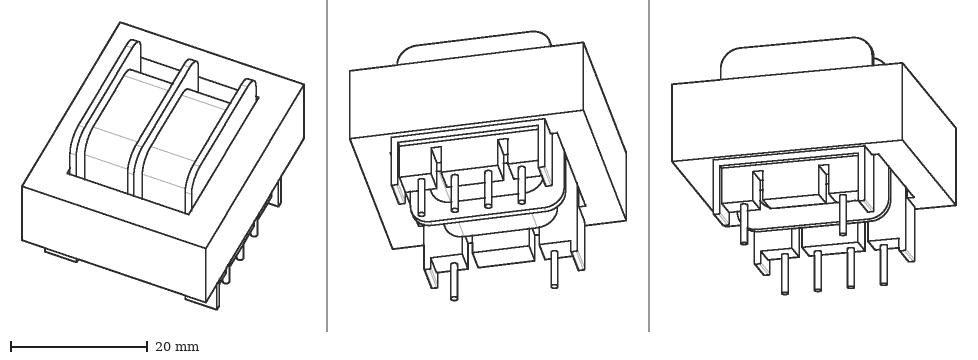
import cadquery as cq

core_length_x = 29.5
core_width_y = 35.0
core_height = 12.0
core_wall = 5.0
window_x = core_length_x - 2 * core_wall
window_y = core_width_y - 2 * core_wall
core_bottom = -core_height / 2

sheet = 1.0
flange_width = 23.0
flange_rise = 6.5
flange_height = core_height + 2 * flange_rise
corner_radius = 3.0
flange_pitch = (window_x - sheet) / 2
flange_positions = (-flange_pitch, 0, flange_pitch)
end_flange_inner = flange_pitch - sheet / 2

winding_width = flange_width - 2 * corner_radius
winding_height = flange_height - 2 * corner_radius

block_inner = end_flange_inner
block_inset = 0.98
block_outer = core_length_x / 2 - block_inset
block_length = block_outer - block_inner
leg_drop = 8.47
leg_edge_radius = 0.2
infill_recess = 1.0
infill_width = flange_width - 2 * sheet
infill_bottom = core_bottom - flange_rise
slot_width = 1.5
slot_top = core_bottom - 2.0

pin_diameter = 1.0
pin_pitch = 5.0
pin_x = (block_inner + block_outer) / 2
pin_bottom = core_bottom - 12.5
slot_offset = pin_pitch


def box_between(x_range, y_range, z_range):
    """Axis-aligned box given by its lower and upper limit on each axis."""
    size = [high - low for low, high in (x_range, y_range, z_range)]
    corner = (x_range[0], y_range[0], z_range[0])
    return cq.Workplane("XY").box(*size, centered=False).translate(corner)


def make_core():
    ring = cq.Workplane("XY").box(core_length_x, core_width_y, core_height)
    window = cq.Workplane("XY").box(window_x, window_y, core_height)
    return ring.cut(window)


def rounded_plate(length, width, height):
    """Block centred on the origin with its four X-direction edges rounded."""
    return cq.Workplane("XY").box(length, width, height).edges("|X").fillet(corner_radius)


def terminal_leg(side):
    """Leg on the +Y or -Y side of the +X terminal block, rounded along its lower edges."""
    centre_y = side * (flange_width - sheet) / 2
    leg = box_between(
        (block_inner, block_outer),
        (centre_y - sheet / 2, centre_y + sheet / 2),
        (core_bottom - leg_drop, core_bottom),
    )
    return leg.edges("|X and <Z").fillet(leg_edge_radius)


def terminal_block():
    """Terminal block at the +X end: top plate, two legs and the infill between them."""
    top_plate = box_between(
        (block_inner, block_outer),
        (-flange_width / 2, flange_width / 2),
        (core_bottom - sheet, core_bottom),
    )
    infill = box_between(
        (block_inner, block_outer - infill_recess),
        (-infill_width / 2, infill_width / 2),
        (infill_bottom, core_bottom),
    )
    return top_plate.union(infill).union(terminal_leg(1)).union(terminal_leg(-1))


def block_slots():
    """Two wire slots through the +X block, open at its bottom and as deep as the winding face."""
    return (
        cq.Workplane("XY")
        .pushPoints([(pin_x, -slot_offset), (pin_x, slot_offset)])
        .rect(block_length, slot_width)
        .extrude(slot_top - infill_bottom)
        .translate((0, 0, infill_bottom))
    )


def make_bobbin():
    """Wound bobbin: winding, three flanges and a slotted terminal block at each end."""
    bobbin = rounded_plate(2 * end_flange_inner, winding_width, winding_height)
    for x in flange_positions:
        flange = rounded_plate(sheet, flange_width, flange_height)
        bobbin = bobbin.union(flange.translate((x, 0, 0)))
    block = terminal_block()
    slots = block_slots()
    for turn in (0, 180):
        bobbin = bobbin.union(block.rotate((0, 0, 0), (0, 0, 1), turn))
        bobbin = bobbin.cut(slots.rotate((0, 0, 0), (0, 0, 1), turn))
    return bobbin


def make_pin(x, y):
    """Round pin hanging from the underside of a terminal block."""
    pin = cq.Workplane("XY").circle(pin_diameter / 2).extrude(infill_bottom - pin_bottom)
    return pin.translate((x, y, pin_bottom))


core = make_core()
bobbin = make_bobbin()

pins = []
for step in (-1.5, 1.5):
    pins.append(make_pin(-pin_x, step * pin_pitch).val())
for step in (-1.5, -0.5, 0.5, 1.5):
    pins.append(make_pin(pin_x, step * pin_pitch).val())

result = cq.Compound.makeCompound([core.val(), bobbin.val(), *pins])